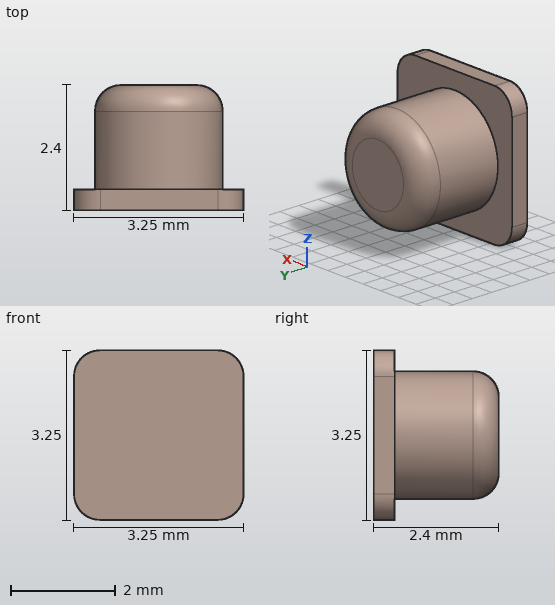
import cadquery as cq

plate_side = 3.25
plate_thickness = 0.4
corner_radius = 0.5

total_depth = 2.4
boss_diameter = 2.45
boss_edge_radius = corner_radius
boss_length = total_depth - plate_thickness


def make_plate():
    """Square plate with rounded corners, from Y = 0 to its thickness."""
    plate = cq.Workplane("XZ").rect(plate_side, plate_side).extrude(-plate_thickness)
    return plate.edges("|Y").fillet(corner_radius)


def make_boss():
    """Cylinder along +Y with a rounded free end."""
    boss = (
        cq.Workplane("XZ", origin=(0, plate_thickness, 0))
        .circle(boss_diameter / 2)
        .extrude(-boss_length)
    )
    return boss.faces(">Y").edges().fillet(boss_edge_radius)


result = make_plate().union(make_boss())